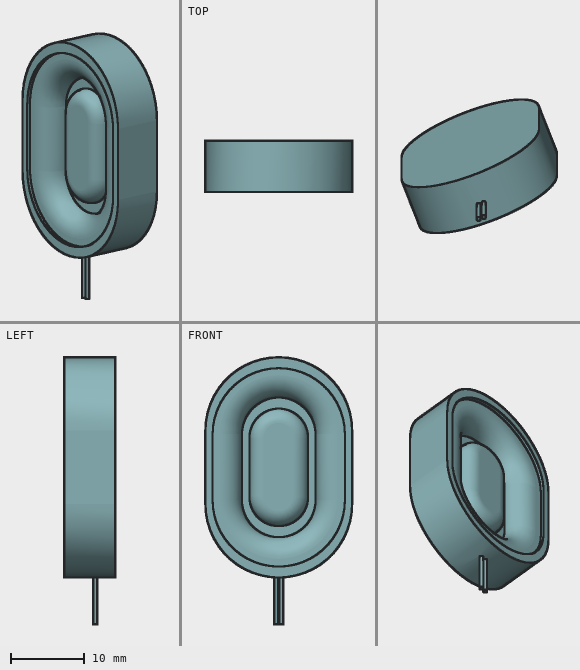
import cadquery as cq

housing_radius = 10.0
housing_half_straight = 5.0
housing_depth = 7.0
housing_bottom = -(housing_radius + housing_half_straight)

rim_width = 1.0
rebate_radius = housing_radius - rim_width
rebate_depth = 0.5

membrane_half_straight = 4.5
well_radius = 5.0
well_depth = 3.0
floor_y = rebate_depth + well_depth

dome_radius = 4.0
dome_half_straight = 4.0
dome_height = 2.0

straight_wall = 0.01
well_roll_radius = well_depth - straight_wall
dome_roll_radius = dome_height - straight_wall

wire_diameter = 0.55
wire_pitch = 0.74
wire_exposed_length = 6.37
wire_embedded_length = 1.0
wire_y = 2.75


def racetrack(end_radius, half_straight, front_y, depth):
    """Upright racetrack block reaching from front_y towards +Y by depth."""
    outline = cq.Workplane("XZ", origin=(0, front_y, 0)).slot2D(
        2 * (half_straight + end_radius), 2 * end_radius, angle=90
    )
    return outline.extrude(-depth)


def make_rim():
    """Outer wall of the housing, open where the membrane sits."""
    block = racetrack(housing_radius, housing_half_straight, 0, housing_depth)
    opening = racetrack(rebate_radius, membrane_half_straight, 0, housing_depth)
    return block.cut(opening)


def make_membrane():
    """Solid filling the rim behind the rebate, with the rolled-over well cut in."""
    thickness = housing_depth - rebate_depth
    plate = racetrack(rebate_radius, membrane_half_straight, rebate_depth, thickness)
    well = racetrack(well_radius, membrane_half_straight, rebate_depth, well_depth)
    body = plate.cut(well)
    mouth = body.faces("<Y").val().innerWires()[0]
    return body.newObject(mouth.Edges()).fillet(well_roll_radius)


def make_dome():
    """Racetrack boss with a rounded front edge, standing on the well floor."""
    dome = racetrack(dome_radius, dome_half_straight, floor_y - dome_height, dome_height)
    return dome.faces("<Y").edges().fillet(dome_roll_radius)


def make_wire(x):
    """Round lead wire hanging from the housing at the given x position."""
    top = housing_bottom + wire_embedded_length
    section = cq.Workplane("XY", origin=(x, wire_y, top)).circle(wire_diameter / 2)
    return section.extrude(-(wire_embedded_length + wire_exposed_length))


result = make_rim().union(make_membrane()).union(make_dome())
for side in (-1, 1):
    result = result.union(make_wire(side * wire_pitch / 2))